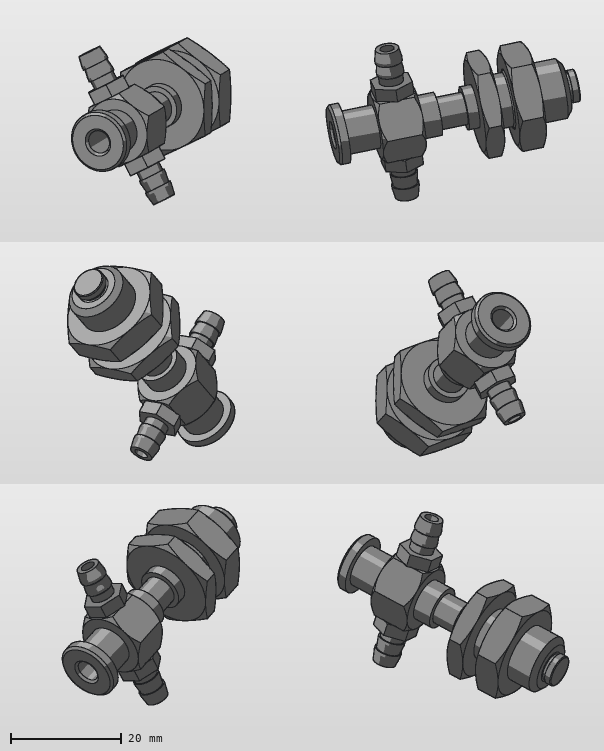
import cadquery as cq
import math

OVERALL_LENGTH = 45.5
COLLAR_RADIUS = 4.0
LARGE_RADIUS = 5.55

FLANGE_LENGTH = 2.0
FLANGE_CHAMFER = 0.45
BLOCK_HEX_FLATS = 12.0
BLOCK_HEX_START = 7.95
BLOCK_HEX_LENGTH = 8.0
BLOCK_HEX_DROP = 0.77
BLOCK_HEX_CENTER = BLOCK_HEX_START + BLOCK_HEX_LENGTH / 2
BLOCK_LENGTH = 19.5
BORE_RADIUS = 2.1
BORE_MOUTH_RADIUS = 2.55
BORE_DEPTH = BLOCK_HEX_CENTER

SLEEVE_START = 24.5
SLEEVE_END = 43.5
LARGE_HEX_FLATS = 17.0
SLEEVE_HEX_START = 26.5
SLEEVE_HEX_LENGTH = 3.5
LARGE_HEX_DROP = 0.6
RELIEF_RADIUS = 5.0
RELIEF_END = 32.55
HEAD_CHAMFER_LENGTH = 0.95
HEAD_CHAMFER_DEPTH = 1.15

NUT_START = 32.75
NUT_LENGTH = 5.0

ROD_RADIUS = 3.0
GROOVE_RADIUS = 2.6
GROOVE_LENGTH = 0.7
ROD_CHAMFER = 0.2

FITTING_TILT = -30.0
FITTING_COUNT = 2
FITTING_HEX_FLATS = 7.0
FITTING_BASE = BLOCK_HEX_FLATS / 2
FITTING_HEX_HEIGHT = 2.4
FITTING_END = 15.0
STEM_RADIUS = 2.25
TIP_RADIUS = 2.15
BARB_RADIUS = 2.5
BARB_LAND = 0.6
BARB_PITCH = 2.4
UPPER_BARB_STEP = 12.45
LOWER_BARB_STEP = UPPER_BARB_STEP - BARB_PITCH
FITTING_BORE_RADIUS = 1.27

HEX_SIDES = 6
HEX_HALF_ANGLE = 180 / HEX_SIDES


def turned(profile):
    """Solid of revolution about Y from (radius, y) corners, closed along the axis."""
    points = [(0, profile[0][1])] + profile + [(0, profile[-1][1])]
    return cq.Workplane("XY").polyline(points).close().revolve(360, (0, 0, 0), (0, 1, 0))


def cylinder(radius, start, end):
    return turned([(radius, start), (radius, end)])


def hexagon_corner_radius(flats):
    return flats / 2 / math.cos(math.radians(HEX_HALF_ANGLE))


def chamfered_hexagon(flats, start, length, drop):
    """Hexagonal prism along Y with corners up and down, both ends turned conical by drop at the corners."""
    inner = flats / 2
    corner = hexagon_corner_radius(flats)
    end = start + length
    prism = (
        cq.Workplane("XZ", origin=(0, start, 0))
        .polygon(HEX_SIDES, 2 * corner)
        .extrude(-length)
        .rotate((0, 0, 0), (0, 1, 0), HEX_HALF_ANGLE)
    )
    envelope = turned([(inner, start), (corner, start + drop), (corner, end - drop), (inner, end)])
    return prism.intersect(envelope)


def make_block():
    barrel = turned([
        (LARGE_RADIUS - FLANGE_CHAMFER, 0),
        (LARGE_RADIUS, FLANGE_CHAMFER),
        (LARGE_RADIUS, FLANGE_LENGTH),
        (COLLAR_RADIUS, FLANGE_LENGTH),
        (COLLAR_RADIUS, BLOCK_LENGTH),
    ])
    bore = turned([
        (BORE_MOUTH_RADIUS, 0),
        (BORE_RADIUS, BORE_MOUTH_RADIUS - BORE_RADIUS),
        (BORE_RADIUS, BORE_DEPTH),
    ])
    hexagon = chamfered_hexagon(BLOCK_HEX_FLATS, BLOCK_HEX_START, BLOCK_HEX_LENGTH, BLOCK_HEX_DROP)
    return barrel.union(hexagon).cut(bore)


def make_sleeve():
    cone_length = LARGE_RADIUS - RELIEF_RADIUS
    body = turned([
        (COLLAR_RADIUS, SLEEVE_START),
        (COLLAR_RADIUS, SLEEVE_HEX_START),
        (RELIEF_RADIUS, SLEEVE_HEX_START),
        (RELIEF_RADIUS, RELIEF_END),
        (LARGE_RADIUS, RELIEF_END + cone_length),
        (LARGE_RADIUS, SLEEVE_END - HEAD_CHAMFER_LENGTH),
        (LARGE_RADIUS - HEAD_CHAMFER_DEPTH, SLEEVE_END),
    ])
    hexagon = chamfered_hexagon(LARGE_HEX_FLATS, SLEEVE_HEX_START, SLEEVE_HEX_LENGTH, LARGE_HEX_DROP)
    return body.union(hexagon).cut(cylinder(ROD_RADIUS, SLEEVE_START, SLEEVE_END))


def make_nut():
    hexagon = chamfered_hexagon(LARGE_HEX_FLATS, NUT_START, NUT_LENGTH, LARGE_HEX_DROP)
    return hexagon.cut(cylinder(LARGE_RADIUS, NUT_START, NUT_START + NUT_LENGTH))


def make_rod():
    """Rod standing on the block's rear face."""
    groove_end = SLEEVE_END + GROOVE_LENGTH
    return turned([
        (ROD_RADIUS, BLOCK_LENGTH),
        (ROD_RADIUS, SLEEVE_END),
        (GROOVE_RADIUS, SLEEVE_END),
        (GROOVE_RADIUS, groove_end),
        (ROD_RADIUS, groove_end),
        (ROD_RADIUS, OVERALL_LENGTH - ROD_CHAMFER),
        (ROD_RADIUS - ROD_CHAMFER, OVERALL_LENGTH),
    ])


def make_fitting(angle):
    """Barbed fitting on a flat of the block's hexagon, turned about Y from +Z."""
    hex_top = FITTING_BASE + FITTING_HEX_HEIGHT
    hex_base = (
        cq.Workplane("XY", origin=(0, 0, FITTING_BASE))
        .polygon(HEX_SIDES, 2 * hexagon_corner_radius(FITTING_HEX_FLATS))
        .extrude(FITTING_HEX_HEIGHT)
    )
    barbs = (
        cq.Workplane("XZ")
        .moveTo(0, hex_top)
        .lineTo(STEM_RADIUS, hex_top)
        .lineTo(STEM_RADIUS, LOWER_BARB_STEP)
        .lineTo(BARB_RADIUS, LOWER_BARB_STEP)
        .lineTo(BARB_RADIUS, LOWER_BARB_STEP + BARB_LAND)
        .lineTo(STEM_RADIUS, UPPER_BARB_STEP)
        .lineTo(BARB_RADIUS, UPPER_BARB_STEP)
        .lineTo(BARB_RADIUS, UPPER_BARB_STEP + BARB_LAND)
        .lineTo(TIP_RADIUS, FITTING_END)
        .lineTo(0, FITTING_END)
        .close()
        .revolve(360, (0, 0, 0), (0, 1, 0))
    )
    bore = (
        cq.Workplane("XY", origin=(0, 0, FITTING_BASE))
        .circle(FITTING_BORE_RADIUS)
        .extrude(FITTING_END - FITTING_BASE)
    )
    fitting = hex_base.union(barbs).cut(bore)
    return fitting.translate((0, BLOCK_HEX_CENTER, 0)).rotate((0, 0, 0), (0, 1, 0), angle)


block = make_block()
sleeve = make_sleeve()
nut = make_nut()
rod = make_rod()
fittings = [make_fitting(FITTING_TILT + i * 360 / FITTING_COUNT) for i in range(FITTING_COUNT)]

result = cq.Compound.makeCompound([
    block.val(),
    sleeve.val(),
    nut.val(),
    rod.val(),
    *[fitting.val() for fitting in fittings],
])